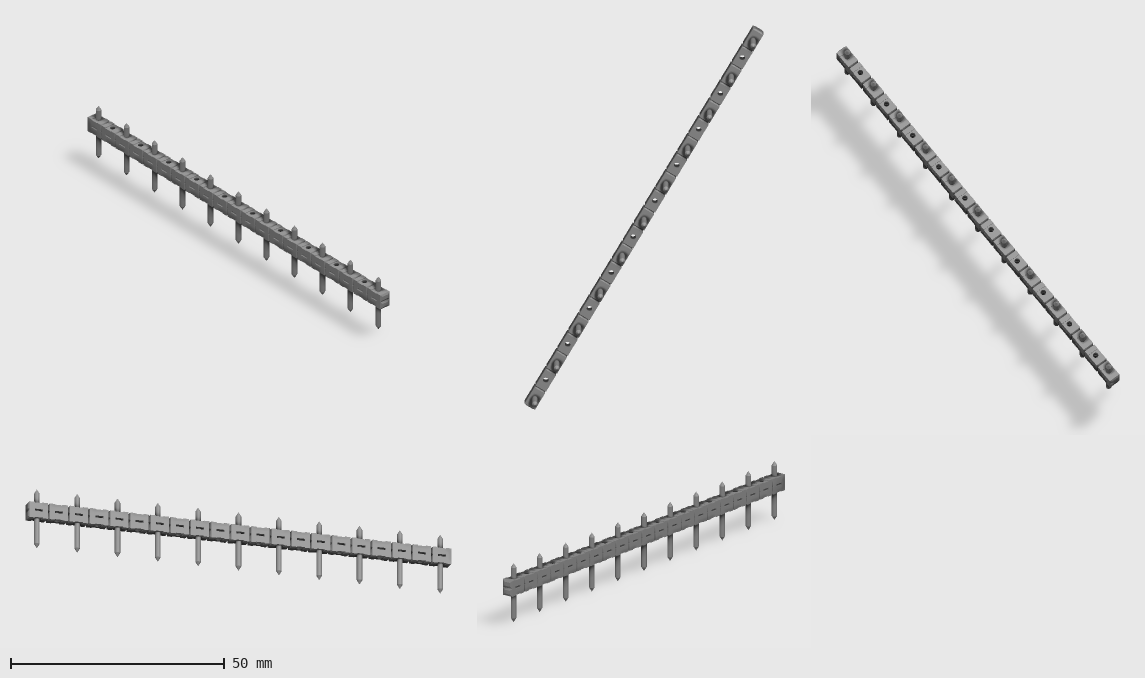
import cadquery as cq

LENGTH = 105.0
CELL_COUNT = 21
PIN_EVERY = 2
PITCH = LENGTH / CELL_COUNT

BLOCK_WIDTH = 2.8
BLOCK_HEIGHT = 3.9
LINK_LENGTH = 0.25
BLOCK_LENGTH = PITCH - 2 * LINK_LENGTH

LINK_TIP_WIDTH = 1.7
LINK_TIP_HEIGHT = 0.9

WINDOW_LENGTH = 2.0
WINDOW_HEIGHT = 0.5
RECESS_DEPTH = 0.15

PIN_RADIUS = 0.65
PIN_POINT_LENGTH = 1.0
PIN_LENGTH = 14.5
PIN_ABOVE_BLOCK = 3.6
PIN_TOP = BLOCK_HEIGHT / 2 + PIN_ABOVE_BLOCK
PIN_BOTTOM = PIN_TOP - PIN_LENGTH
HOLE_RADIUS = PIN_RADIUS


def make_link(side, level):
    """Frustum on one end (side -1 or 1) of the lower or upper half (level -1 or 1)."""
    frustum = (
        cq.Workplane("YZ", origin=(BLOCK_LENGTH / 2, 0, level * BLOCK_HEIGHT / 4))
        .rect(BLOCK_WIDTH, BLOCK_HEIGHT / 2)
        .workplane(offset=LINK_LENGTH)
        .rect(LINK_TIP_WIDTH, LINK_TIP_HEIGHT)
        .loft(ruled=True)
    )
    return frustum if side > 0 else frustum.mirror("YZ")


def make_recess(level):
    """Shallow groove across the bottom or top face (level -1 or 1)."""
    groove = cq.Workplane("XY").box(WINDOW_LENGTH, BLOCK_WIDTH, 2 * RECESS_DEPTH)
    return groove.translate((0, 0, level * BLOCK_HEIGHT / 2))


def make_cell():
    """Block with tapered links, a window along Y, two recesses and a hole along Z."""
    cell = cq.Workplane("XY").box(BLOCK_LENGTH, BLOCK_WIDTH, BLOCK_HEIGHT)
    window = cq.Workplane("XY").box(WINDOW_LENGTH, BLOCK_WIDTH, WINDOW_HEIGHT)
    hole = cq.Workplane("XY").circle(HOLE_RADIUS).extrude(BLOCK_HEIGHT / 2, both=True)
    for level in (-1, 1):
        for side in (-1, 1):
            cell = cell.union(make_link(side, level))
        cell = cell.cut(make_recess(level))
    return cell.cut(window).cut(hole)


def make_pin():
    """Revolved pin on the Z axis, longer below the block than above it."""
    return (
        cq.Workplane("XZ")
        .moveTo(0, PIN_BOTTOM)
        .lineTo(PIN_RADIUS, PIN_BOTTOM + PIN_POINT_LENGTH)
        .lineTo(PIN_RADIUS, PIN_TOP - PIN_POINT_LENGTH)
        .lineTo(0, PIN_TOP)
        .close()
        .revolve(360, (0, 0, 0), (0, 1, 0))
    )


plain_cell = make_cell()
pin_cell = plain_cell.union(make_pin())

cells = []
for index in range(CELL_COUNT):
    cell = pin_cell if index % PIN_EVERY == 0 else plain_cell
    x_center = (index + 0.5) * PITCH - LENGTH / 2
    cells.append(cell.val().translate(cq.Vector(x_center, 0, 0)))

strip = cells[0].fuse(*cells[1:])
result = cq.Workplane("XY").newObject(strip.Solids())